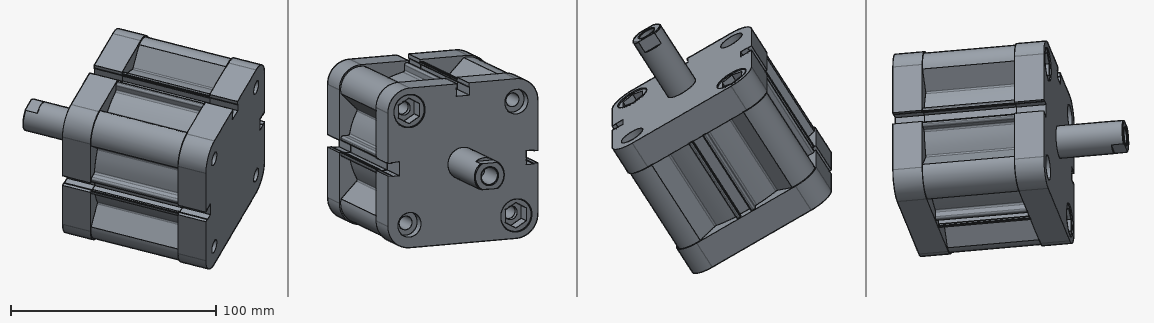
import cadquery as cq
import math

OVERALL_LENGTH = 108

CAP_SIDE = 79.5
CAP_CORNER_RADIUS = 11.6
CAP_LENGTH = 14.6
BARREL_LENGTH = 45.7
HOUSING_LENGTH = BARREL_LENGTH + 2 * CAP_LENGTH
CAP_HALF = CAP_SIDE / 2

CORE_RADIUS = 34.8
BOSS_WIDTH = 17.8
BOSS_END_RADIUS = 10.7
BOSS_FOOT_RADIUS = 0.9
RAIL_HALF_WIDTH = 5.2
RAIL_INSET = 1.0
RAIL_TOP = CAP_HALF - RAIL_INSET
RAIL_TOP_RADIUS = 1.1
RAIL_FOOT_RADIUS = 1.0

LIP_DEPTH = 2.2
CAP_SLOT_OPENING = 6.2
CAP_SLOT_WIDTH = 6.9
CAP_SLOT_DEPTH = 6.2
BARREL_SLOT_OPENING = 5.6
BARREL_SLOT_WIDTH = 6.7
BARREL_SLOT_DEPTH = 5.8
LIP_BEVEL_WIDTH = 0.4
LIP_BEVEL_DEPTH = 0.2

HOLE_PITCH = 56.6
HOLE_DIAMETER = 6.8
COUNTERBORE_DIAMETER = 12.2
COUNTERBORE_DEPTH = 4.9
SCREW_SEAT_DIAMETER = 16.5
SCREW_SEAT_DEPTH = 9.7
SCREW_DIAMETER = 16.0
SCREW_RECESS = 0.5
SCREW_LENGTH = SCREW_SEAT_DEPTH - SCREW_RECESS
HEX_ACROSS_FLATS = 11.0
HEX_DEPTH = 6.5
HEX_HALF_SIDE_ANGLE = 30
HEX_TURN = 90

ROD_DIAMETER = 15.9
ROD_PROTRUSION = OVERALL_LENGTH - HOUSING_LENGTH
ROD_INSERTION = CAP_LENGTH
ROD_CHAMFER = 0.4
FLATS_LENGTH = 6.4
ACROSS_FLATS = 13.0
BORE_DIAMETER = 8.5
BORE_MOUTH_DIAMETER = 9.4
BORE_DEPTH = 16.2
DRILL_POINT_ANGLE = 118

SIDE_TURNS = [0, 90, 180, 270]
CAP_SLOT_TURNS = [0, 90, 270]
CORNER_ANGLE = 45
HALF_PITCH = HOLE_PITCH / 2
HOLE_RADIAL_DISTANCE = HALF_PITCH * math.sqrt(2)
SCREW_CENTERS = [(HALF_PITCH, HALF_PITCH), (-HALF_PITCH, -HALF_PITCH)]
COUNTERBORE_CENTERS = [(HALF_PITCH, -HALF_PITCH), (-HALF_PITCH, HALF_PITCH)]


def section(x):
    """Workplane across the part at x: local axes are Y and Z, extrusion runs along +X."""
    return cq.Workplane("YZ", origin=(x, 0, 0))


def turned(shape, angle):
    return shape.rotate((0, 0, 0), (1, 0, 0), angle)


def plain_cap(x):
    return section(x).rect(CAP_SIDE, CAP_SIDE).extrude(CAP_LENGTH).edges("|X").fillet(CAP_CORNER_RADIUS)


def t_slot(x, length, opening, width, depth):
    """Cutter for the T-slot on the top side."""
    lip_bottom = CAP_HALF - LIP_DEPTH
    floor = CAP_HALF - depth
    neck = section(x).center(0, (CAP_HALF + lip_bottom) / 2).rect(opening, LIP_DEPTH).extrude(length)
    channel = section(x).center(0, (lip_bottom + floor) / 2).rect(width, lip_bottom - floor)
    return neck.union(channel.extrude(length))


def corner_boss():
    """Bar from the core axis past one corner hole, with a round outer end."""
    half_width = BOSS_WIDTH / 2
    flank_end = HOLE_RADIAL_DISTANCE + math.sqrt(BOSS_END_RADIUS**2 - half_width**2)
    bar = (
        section(CAP_LENGTH)
        .moveTo(0, -half_width)
        .lineTo(flank_end, -half_width)
        .threePointArc((HOLE_RADIAL_DISTANCE + BOSS_END_RADIUS, 0), (flank_end, half_width))
        .lineTo(0, half_width)
        .close()
        .extrude(BARREL_LENGTH)
    )
    return turned(bar, CORNER_ANGLE)


def rail():
    """Slot rail on the top side, reaching down into the core."""
    return (
        section(CAP_LENGTH)
        .center(0, RAIL_TOP / 2)
        .rect(2 * RAIL_HALF_WIDTH, RAIL_TOP)
        .extrude(BARREL_LENGTH)
        .edges("|X and >Z")
        .fillet(RAIL_TOP_RADIUS)
    )


def fillet_feet(barrel, middle_angle, half_width, radius):
    """Round the feet of four ribs on the core, the first one at middle_angle degrees from the Y axis."""
    middle_x = CAP_LENGTH + BARREL_LENGTH / 2
    spread = math.degrees(math.asin(half_width / CORE_RADIUS))
    edges = []
    for turn in SIDE_TURNS:
        for offset in (-spread, spread):
            angle = math.radians(middle_angle + turn + offset)
            foot = (middle_x, CORE_RADIUS * math.cos(angle), CORE_RADIUS * math.sin(angle))
            edges += barrel.edges(cq.selectors.NearestToPointSelector(foot)).vals()
    return barrel.newObject(edges).fillet(radius)


def lip_bevel():
    """Cutter for the bevels along both upper edges of the barrel slot on the top side."""
    half_opening = BARREL_SLOT_OPENING / 2
    bevel_start = half_opening + LIP_BEVEL_WIDTH
    bevel_bottom = RAIL_TOP - LIP_BEVEL_DEPTH
    return (
        section(CAP_LENGTH)
        .polyline([
            (-bevel_start, RAIL_TOP),
            (-half_opening, bevel_bottom),
            (half_opening, bevel_bottom),
            (bevel_start, RAIL_TOP),
        ])
        .close()
        .extrude(BARREL_LENGTH)
    )


def make_barrel():
    barrel = section(CAP_LENGTH).circle(CORE_RADIUS).extrude(BARREL_LENGTH)
    for angle in SIDE_TURNS:
        barrel = barrel.union(turned(corner_boss(), angle))
        barrel = barrel.union(turned(rail(), angle))
    barrel = fillet_feet(barrel, CORNER_ANGLE, BOSS_WIDTH / 2, BOSS_FOOT_RADIUS)
    barrel = fillet_feet(barrel, 0, RAIL_HALF_WIDTH, RAIL_FOOT_RADIUS)
    slot = t_slot(CAP_LENGTH, BARREL_LENGTH, BARREL_SLOT_OPENING, BARREL_SLOT_WIDTH, BARREL_SLOT_DEPTH)
    slot = slot.union(lip_bevel())
    for angle in SIDE_TURNS:
        barrel = barrel.cut(turned(slot, angle))
    return barrel


def slotted_cap(x):
    body = plain_cap(x)
    slot = t_slot(x, CAP_LENGTH, CAP_SLOT_OPENING, CAP_SLOT_WIDTH, CAP_SLOT_DEPTH)
    for angle in CAP_SLOT_TURNS:
        body = body.cut(turned(slot, angle))
    return body


def make_housing():
    housing = slotted_cap(0).union(make_barrel()).union(slotted_cap(CAP_LENGTH + BARREL_LENGTH))
    corners = SCREW_CENTERS + COUNTERBORE_CENTERS
    holes = section(0).pushPoints(corners).circle(HOLE_DIAMETER / 2).extrude(HOUSING_LENGTH)
    counterbores = (
        section(0).pushPoints(COUNTERBORE_CENTERS).circle(COUNTERBORE_DIAMETER / 2).extrude(COUNTERBORE_DEPTH)
    )
    seats = section(0).pushPoints(SCREW_CENTERS).circle(SCREW_SEAT_DIAMETER / 2).extrude(SCREW_SEAT_DEPTH)
    rod_bore = section(0).circle(ROD_DIAMETER / 2).extrude(ROD_INSERTION)
    return housing.cut(holes).cut(counterbores).cut(seats).cut(rod_bore)


def make_rod():
    tip = -ROD_PROTRUSION
    rod = section(tip).circle(ROD_DIAMETER / 2).extrude(ROD_PROTRUSION + ROD_INSERTION)
    rod = rod.faces("<X").chamfer(ROD_CHAMFER)
    flats = (
        section(tip)
        .rect(ROD_DIAMETER, 2 * ROD_DIAMETER)
        .rect(ROD_DIAMETER, ACROSS_FLATS)
        .extrude(FLATS_LENGTH)
    )
    bore_radius = BORE_DIAMETER / 2
    mouth_radius = BORE_MOUTH_DIAMETER / 2
    point_length = bore_radius / math.tan(math.radians(DRILL_POINT_ANGLE / 2))
    bore = (
        cq.Workplane("XY")
        .polyline([
            (tip, 0),
            (tip, mouth_radius),
            (tip + mouth_radius - bore_radius, bore_radius),
            (tip + BORE_DEPTH, bore_radius),
            (tip + BORE_DEPTH + point_length, 0),
        ])
        .close()
        .revolve(360, (0, 0, 0), (1, 0, 0))
    )
    return rod.cut(flats).cut(bore)


def make_screw(center):
    """Hollow screw, set just below the cap face, with corners of its hex socket up and down."""
    tube = section(SCREW_RECESS).center(*center).circle(SCREW_DIAMETER / 2).circle(HOLE_DIAMETER / 2)
    across_corners = HEX_ACROSS_FLATS / math.cos(math.radians(HEX_HALF_SIDE_ANGLE))
    socket = section(SCREW_RECESS).polygon(6, across_corners).extrude(HEX_DEPTH)
    socket = turned(socket, HEX_TURN).translate((0, *center))
    return tube.extrude(SCREW_LENGTH).cut(socket)


housing = make_housing()
rod = make_rod()
screws = [make_screw(center) for center in SCREW_CENTERS]

result = cq.Compound.makeCompound([housing.val(), rod.val(), *[screw.val() for screw in screws]])